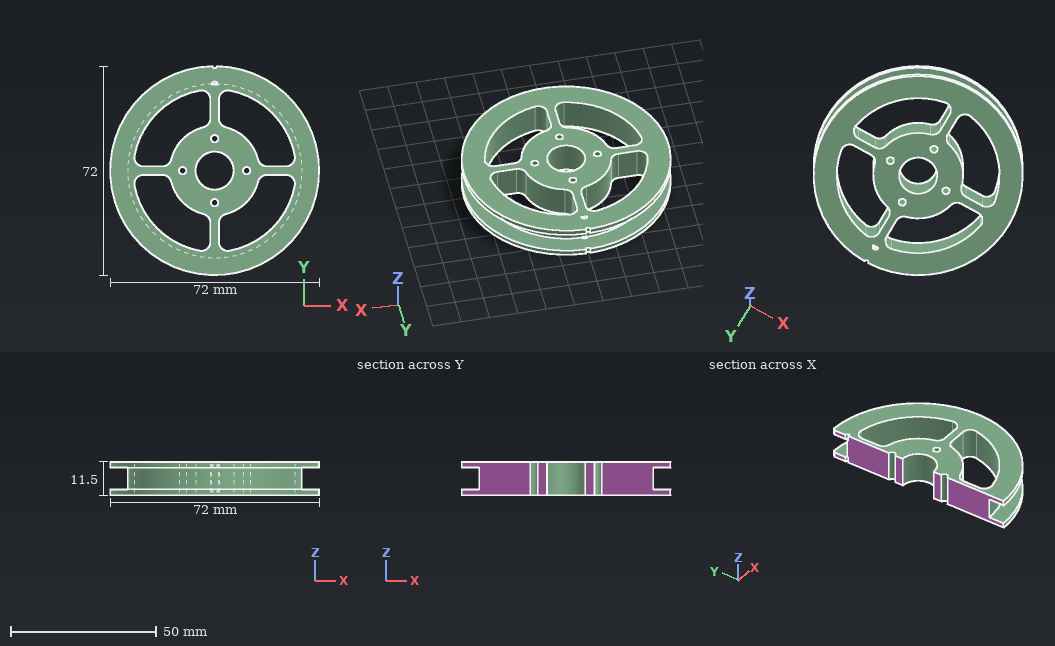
import cadquery as cq

outer_diameter = 72.0
height = 11.5
flange_thickness = 2.0
drum_diameter = 60.0
groove_width = height - 2 * flange_thickness

bore_diameter = 13.0
hub_radius = 15.5
rim_inner_radius = 28.0
spoke_width = 3.0
spoke_count = 4
window_fillet = 3.0

bolt_hole_diameter = 2.45
bolt_circle_radius = 11.0

notch_radius = 0.7
cord_hole_radius = 1.0
cord_hole_center = 29.6


def make_disc(diameter, thickness, bottom):
    return cq.Workplane("XY").workplane(offset=bottom).circle(diameter / 2).extrude(thickness)


def make_wheel():
    """Two flanges joined by a narrower drum."""
    lower_flange = make_disc(outer_diameter, flange_thickness, 0)
    drum = make_disc(drum_diameter, height, 0)
    upper_flange = make_disc(outer_diameter, flange_thickness, height - flange_thickness)
    return lower_flange.union(drum).union(upper_flange)


def make_window():
    """One quarter-ring window between neighbouring spokes, with rounded corners."""
    ring = cq.Workplane("XY").circle(rim_inner_radius).circle(hub_radius).extrude(height)
    quadrant = (
        cq.Workplane("XY")
        .moveTo(spoke_width / 2, spoke_width / 2)
        .rect(outer_diameter, outer_diameter, centered=False)
        .extrude(height)
    )
    return ring.intersect(quadrant).edges("|Z").fillet(window_fillet)


def make_cord_hole():
    """Half-round hole, flat towards the hub, that skirts the drum in both flanges."""
    opening = (
        cq.Workplane("XY")
        .moveTo(-cord_hole_radius, cord_hole_center)
        .threePointArc(
            (0, cord_hole_center + cord_hole_radius),
            (cord_hole_radius, cord_hole_center),
        )
        .close()
        .extrude(height)
    )
    return opening.cut(make_disc(drum_diameter, groove_width, flange_thickness))


wheel = make_wheel()

window = make_window()
for index in range(spoke_count):
    wheel = wheel.cut(window.rotate((0, 0, 0), (0, 0, 1), index * 360 / spoke_count))

bore = make_disc(bore_diameter, height, 0)
bolt_holes = (
    cq.Workplane("XY")
    .polarArray(bolt_circle_radius, 0, 360, spoke_count)
    .circle(bolt_hole_diameter / 2)
    .extrude(height)
)
notch = cq.Workplane("XY").center(0, outer_diameter / 2).circle(notch_radius).extrude(height)

result = wheel.cut(bore).cut(bolt_holes).cut(notch).cut(make_cord_hole())